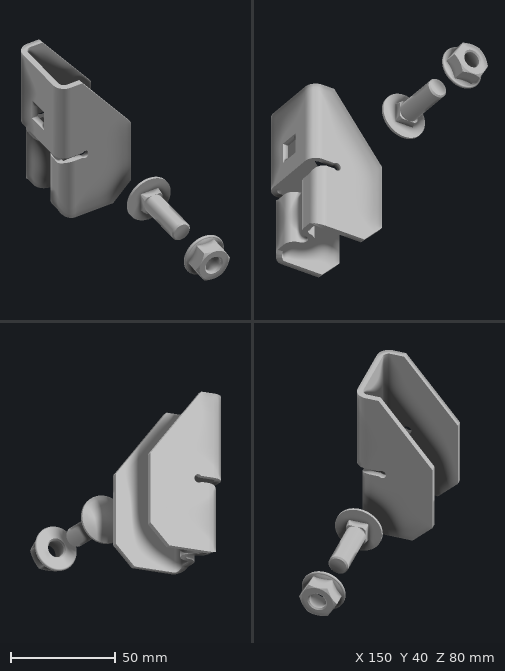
import cadquery as cq
import math

width = 40.0
depth = 40.0
height = 80.0
sheet = 3.0
inner_bend = 3.0
outer_bend = inner_bend + sheet
center_x = width / 2

top_edge_depth = 12.8
slope_foot_z = 45.2
rear_chamfer = 10.0

web_bottom_z = 37.5
slot_bottom_z = 34.5
slot_z = (web_bottom_z + slot_bottom_z) / 2
slot_end_y = 14.4
slot_end_radius = 2.1

flange_setback = 2.7
flange_inset = 3.0
flange_bottom_z = flange_inset
flange_top_z = slot_bottom_z - flange_inset
flange_bend_y = flange_setback + outer_bend

ridge_inner = 3.0
ridge_outer = ridge_inner + sheet
ridge_crest_y = 7.4
foot_center_y = flange_setback + ridge_outer
foot_offset = math.sqrt((ridge_inner + ridge_outer) ** 2 - (foot_center_y - ridge_crest_y) ** 2)

square_hole = 11.0
square_hole_z = 52.4

axis_y = depth / 2
axis_z = height / 2

bolt_x = 85.0
head_diameter = 23.8
dome_height = 3.8
head_rim = 1.4
shank_diameter = 10.0
neck_length = 3.9
neck_start_radius = 6.9
neck_end_radius = 6.2
bolt_length = 35.0
tip_chamfer = 0.8

nut_end_x = 150.0
nut_height = 10.4
across_flats = 16.6
hex_end_radius = 8.1
hex_end_chamfer = 1.2
nut_flange_diameter = 22.2
nut_flange_rim = 1.8
cone_top_height = 2.8
nut_bore = 8.4
bore_chamfer = 0.8


def on_axis(profile):
    """Revolve a profile, drawn as (axial, radial) points from X = 0, about the X axis."""
    return profile.close().revolve(360, (0, 0, 0), (1, 0, 0))


def wall(bend_side_x):
    """Flat side wall, reaching forward only to where its bends begin."""
    outline = [
        (outer_bend, height),
        (top_edge_depth, height),
        (depth, slope_foot_z),
        (depth, rear_chamfer),
        (depth - rear_chamfer, 0),
        (flange_bend_y, 0),
        (flange_bend_y, slot_z),
        (outer_bend, slot_z),
    ]
    plate = cq.Workplane("YZ", origin=(bend_side_x, 0, 0)).polyline(outline).close().extrude(sheet)
    slot = cq.Workplane("XY").box(
        sheet, slot_end_y, web_bottom_z - slot_bottom_z, centered=False
    ).translate((bend_side_x, 0, slot_bottom_z))
    slot_end = (
        cq.Workplane("YZ", origin=(bend_side_x, 0, 0))
        .center(slot_end_y, slot_z)
        .circle(slot_end_radius)
        .extrude(sheet)
    )
    return plate.cut(slot).cut(slot_end)


def upper_web():
    """Front web with its two full bends and the square bolt hole."""
    half = center_x - outer_bend
    outer_mid = outer_bend * math.sin(math.pi / 4)
    inner_mid = inner_bend * math.sin(math.pi / 4)
    channel = (
        cq.Workplane("XY", origin=(center_x, 0, web_bottom_z))
        .moveTo(-half - outer_bend, outer_bend)
        .threePointArc((-half - outer_mid, outer_bend - outer_mid), (-half, 0))
        .lineTo(half, 0)
        .threePointArc((half + outer_mid, outer_bend - outer_mid), (half + outer_bend, outer_bend))
        .lineTo(half + inner_bend, outer_bend)
        .threePointArc((half + inner_mid, outer_bend - inner_mid), (half, sheet))
        .lineTo(-half, sheet)
        .threePointArc((-half - inner_mid, outer_bend - inner_mid), (-half - inner_bend, outer_bend))
        .close()
        .extrude(height - web_bottom_z)
    )
    hole = (
        cq.Workplane("XZ")
        .center(center_x, square_hole_z)
        .rect(square_hole, square_hole)
        .extrude(-sheet)
    )
    return channel.cut(hole)


def lower_flange():
    """Flat flange with the pressed ridge, between the two lower bends."""
    half = center_x - outer_bend
    front_y = flange_setback
    back_y = flange_setback + sheet
    lean = math.atan2(foot_center_y - ridge_crest_y, foot_offset)

    def crest(radius, angle):
        return radius * math.sin(angle), ridge_crest_y + radius * math.cos(angle)

    def foot(radius, angle):
        return foot_offset - radius * math.sin(angle), foot_center_y - radius * math.cos(angle)

    def mirror(point):
        return -point[0], point[1]

    tangent = math.pi / 2 - lean
    middle = tangent / 2
    profile = (
        cq.Workplane("XY", origin=(center_x, 0, flange_bottom_z))
        .moveTo(-half, front_y)
        .lineTo(-foot_offset, front_y)
        .threePointArc(mirror(foot(ridge_outer, middle)), mirror(crest(ridge_inner, tangent)))
        .threePointArc(crest(ridge_inner, 0), crest(ridge_inner, tangent))
        .threePointArc(foot(ridge_outer, middle), (foot_offset, front_y))
        .lineTo(half, front_y)
        .lineTo(half, back_y)
        .lineTo(foot_offset, back_y)
        .threePointArc(foot(ridge_inner, middle), crest(ridge_outer, tangent))
        .threePointArc(crest(ridge_outer, 0), mirror(crest(ridge_outer, tangent)))
        .threePointArc(mirror(foot(ridge_inner, middle)), (-foot_offset, back_y))
        .lineTo(-half, back_y)
        .close()
    )
    return profile.extrude(flange_top_z - flange_bottom_z)


def lower_bend():
    """Left bend from the wall to the flange, narrowing by the inset at each end as it turns."""

    def rim(radius, flange_z, inset):
        along = cq.Vector(-radius, 0, inset)
        across = cq.Vector(0, -1, 0)
        return cq.Edge.makeEllipse(
            along.Length, radius, cq.Vector(outer_bend, flange_bend_y, flange_z),
            along.cross(across), along, 0, 90,
        )

    outer_low = rim(outer_bend, flange_bottom_z, -flange_inset)
    inner_low = rim(inner_bend, flange_bottom_z, -flange_inset)
    outer_high = rim(outer_bend, flange_top_z, flange_inset)
    inner_high = rim(inner_bend, flange_top_z, flange_inset)
    loop = [outer_low, inner_low, inner_high, outer_high]
    faces = [cq.Face.makeRuledSurface(loop[i - 1], loop[i]) for i in range(len(loop))]
    for end in (cq.Edge.startPoint, cq.Edge.endPoint):
        corners = [end(edge) for edge in loop]
        faces.append(cq.Face.makeFromWires(cq.Wire.makePolygon(corners, close=True)))
    return cq.Workplane(cq.Solid.makeSolid(cq.Shell.makeShell(faces)))


def make_bracket():
    left_bend = lower_bend()
    right_bend = left_bend.mirror("YZ", (center_x, 0, 0))
    body = upper_web().union(lower_flange())
    for part in (wall(0), wall(width - sheet), left_bend, right_bend):
        body = body.union(part)
    return body


def make_bolt():
    head_radius = head_diameter / 2
    shank_radius = shank_diameter / 2
    neck_x = dome_height + head_rim
    shank_x = neck_x + neck_length
    dome_radius = (head_radius ** 2 + dome_height ** 2) / (2 * dome_height)
    half_angle = math.asin(head_radius / dome_radius) / 2
    dome_middle = (dome_radius * (1 - math.cos(half_angle)), dome_radius * math.sin(half_angle))
    turned = on_axis(
        cq.Workplane("XY")
        .threePointArc(dome_middle, (dome_height, head_radius))
        .lineTo(neck_x, head_radius)
        .lineTo(neck_x, shank_radius)
        .lineTo(bolt_length - tip_chamfer, shank_radius)
        .lineTo(bolt_length, shank_radius - tip_chamfer)
        .lineTo(bolt_length, 0)
    )
    square = (
        cq.Workplane("YZ", origin=(neck_x, 0, 0))
        .rect(shank_diameter, shank_diameter)
        .extrude(neck_length)
    )
    neck_limit = on_axis(
        cq.Workplane("XY")
        .moveTo(neck_x, 0)
        .lineTo(neck_x, neck_start_radius)
        .lineTo(shank_x, neck_end_radius)
        .lineTo(shank_x, 0)
    )
    return turned.union(square.intersect(neck_limit)).translate((bolt_x, axis_y, axis_z))


def make_nut():
    corner_diameter = across_flats / math.cos(math.pi / 6)
    corner_radius = corner_diameter / 2
    flat_radius = across_flats / 2
    rim_radius = nut_flange_rim / 2
    rim_center = nut_flange_diameter / 2 - rim_radius
    bore_radius = nut_bore / 2
    hexagon = cq.Workplane("YZ").polygon(6, corner_diameter).extrude(nut_height)
    end_chamfer = on_axis(
        cq.Workplane("XY")
        .lineTo(0, corner_radius)
        .lineTo(nut_height - hex_end_chamfer, corner_radius)
        .lineTo(nut_height, hex_end_radius)
        .lineTo(nut_height, 0)
    )
    flange = on_axis(
        cq.Workplane("XY")
        .lineTo(0, rim_center)
        .threePointArc((rim_radius, rim_center + rim_radius), (nut_flange_rim, rim_center))
        .lineTo(cone_top_height, flat_radius)
        .lineTo(cone_top_height, 0)
    )
    bore = on_axis(
        cq.Workplane("XY")
        .lineTo(0, bore_radius + bore_chamfer)
        .lineTo(bore_chamfer, bore_radius)
        .lineTo(nut_height - bore_chamfer, bore_radius)
        .lineTo(nut_height, bore_radius + bore_chamfer)
        .lineTo(nut_height, 0)
    )
    nut = hexagon.intersect(end_chamfer).union(flange).cut(bore)
    return nut.translate((nut_end_x - nut_height, axis_y, axis_z))


bracket = make_bracket()
bolt = make_bolt()
nut = make_nut()

result = cq.Compound.makeCompound([bracket.solids().val(), bolt.solids().val(), nut.solids().val()])